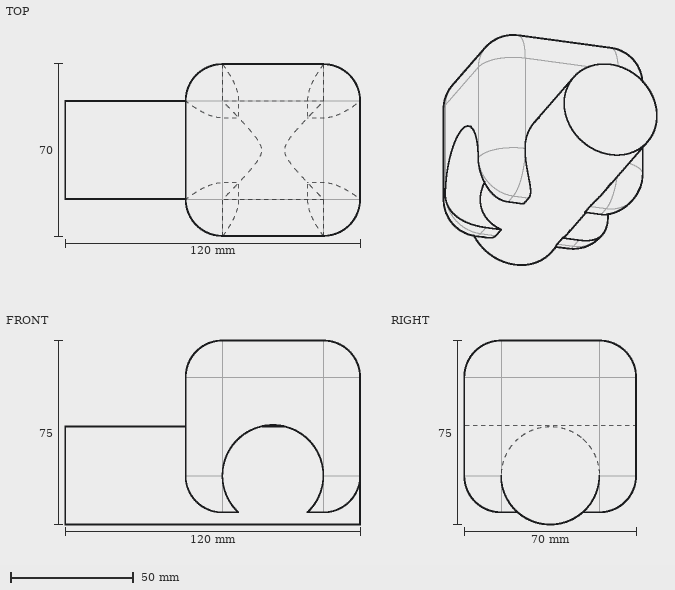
import cadquery as cq

bar_length = 120.0
bar_diameter = 40.0
edge_radius = 15.0
hole_diameter = 41.0

block_x = hole_diameter + 2 * edge_radius
block_y = bar_diameter + 2 * edge_radius
block_z = block_y
block_center_x = bar_length - block_x / 2
block_bottom_z = -edge_radius

block = (
    cq.Workplane("XY")
    .box(block_x, block_y, block_z)
    .edges()
    .fillet(edge_radius)
    .translate((block_center_x, 0, block_bottom_z + block_z / 2))
)

cross_hole = (
    cq.Workplane("XZ")
    .center(block_center_x, 0)
    .circle(hole_diameter / 2)
    .extrude(block_y / 2, both=True)
)

bar = cq.Workplane("YZ").circle(bar_diameter / 2).extrude(bar_length)

result = block.cut(cross_hole).union(bar)